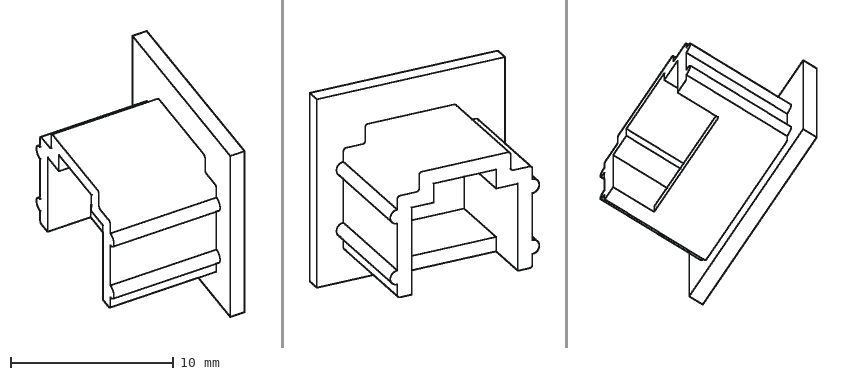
import cadquery as cq

plate_size = 13.0
wall = 1.0

total_depth = 8.4
housing_depth = total_depth - wall
lower_half_width = 4.67
upper_half_width = 3.16
housing_bottom = -4.32
shoulder_height = 2.7
housing_top = 4.02
corner_radius = 0.2

floor_setback = 3.0
floor_depth = housing_depth - floor_setback

rib_radius = 0.48
rib_heights = (-2.9, 1.3)

hole_diameter = 3.0
hole_height = 0.75


def stepped_prism(inset, bottom):
    """Extrude the stepped outline, with its sides and top moved in by inset."""
    lower = lower_half_width - inset
    upper = upper_half_width - inset
    shoulder = shoulder_height - inset
    top = housing_top - inset
    outline = [
        (-lower, bottom),
        (lower, bottom),
        (lower, shoulder),
        (upper, shoulder),
        (upper, top),
        (-upper, top),
        (-upper, shoulder),
        (-lower, shoulder),
    ]
    return cq.Workplane("XZ").polyline(outline).close().extrude(housing_depth)


plate = cq.Workplane("XZ").rect(plate_size, plate_size).extrude(-wall)

housing = stepped_prism(0, housing_bottom).edges("|Y").fillet(corner_radius)
housing = housing.cut(stepped_prism(wall, housing_bottom))

floor_width = 2 * (lower_half_width - wall)
floor = cq.Workplane("XY").box(floor_width, floor_depth, wall, centered=(True, False, False))
floor = floor.translate((0, -floor_depth, housing_bottom))

rib_centres = [(side * lower_half_width, height) for side in (-1, 1) for height in rib_heights]
ribs = cq.Workplane("XZ").pushPoints(rib_centres).circle(rib_radius).extrude(housing_depth)

hole = cq.Workplane("XZ").center(0, hole_height).circle(hole_diameter / 2).extrude(-wall)

result = plate.union(housing).union(floor).union(ribs).cut(hole)